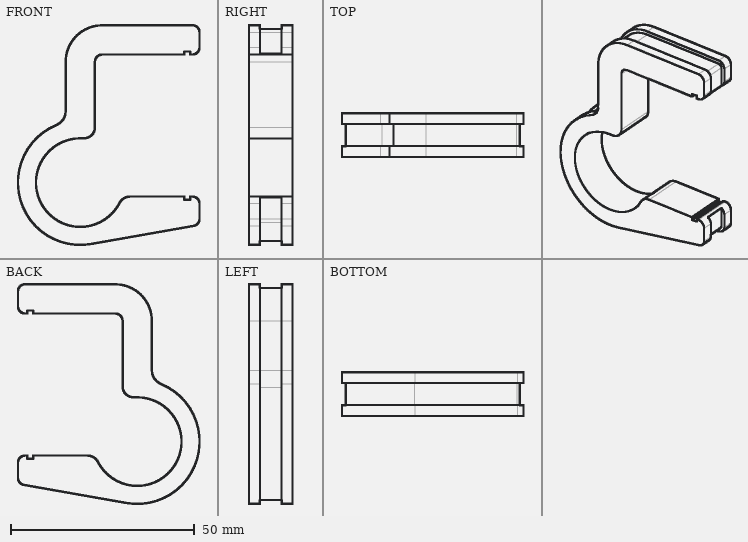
import cadquery as cq
import math

width = 12.0
ring_outer_radius = 17.0
ring_inner_radius = 12.05
tip_x = 32.5
top_z = 42.85
thickness = 8.0
upright_left = -4.0
lower_arm_top = -3.8
lower_arm_slope = math.radians(10)

elbow_outer_radius = 10.0
elbow_inner_radius = 2.0
tip_radius = 2.0
neck_radius = 4.0
foot_radius = 3.0
lip_radius = 3.3

groove_width = 6.0
groove_depth = 1.0

notch_width = 1.6
notch_depth = 0.85
notch_left = 28.3

upright_right = upright_left + thickness
arm_bottom = top_z - thickness


def polar(radius, angle):
    return (radius * math.cos(angle), radius * math.sin(angle))


def corner_arc(path, center, radius, start, end):
    """Run from the path's end to the start of an arc, then follow it to its end angle."""
    def point(angle):
        x, z = polar(radius, angle)
        return (center[0] + x, center[1] + z)

    return path.lineTo(*point(start)).threePointArc(point((start + end) / 2), point(end))


def clip_profile(inset, depth):
    """Clip with its outer contour moved inward by inset, centred along Y."""
    quarter = math.pi / 2
    outer_radius = ring_outer_radius - inset
    tip_arc = tip_radius - inset
    elbow_arc = elbow_outer_radius - inset
    neck_arc = neck_radius + inset

    slope_angle = lower_arm_slope - quarter
    neck_x = upright_left - neck_radius
    neck_z = math.sqrt((ring_outer_radius + neck_radius) ** 2 - neck_x**2)
    neck_angle = math.atan2(neck_z, neck_x)
    ring_middle = (slope_angle + neck_angle - 2 * math.pi) / 2

    end_angle = math.acos(tip_arc / tip_radius)

    tip_center_x = tip_x - tip_radius
    slope_offset = ring_outer_radius - tip_radius
    lower_tip_z = (tip_center_x * math.sin(lower_arm_slope) - slope_offset) / math.cos(lower_arm_slope)

    lip_z = lower_arm_top - lip_radius
    lip_x = math.sqrt((ring_inner_radius + lip_radius) ** 2 - lip_z**2)
    lip_angle = math.atan2(lip_z, lip_x)
    bore_middle = (lip_angle - 3 * quarter) / 2

    path = cq.Workplane("XZ").moveTo(*polar(outer_radius, slope_angle))
    path = path.threePointArc(polar(outer_radius, ring_middle), polar(outer_radius, neck_angle))
    neck_end = (neck_x + neck_arc, neck_z)
    neck_x_step, neck_z_step = polar(neck_arc, (neck_angle - math.pi) / 2)
    path = path.threePointArc((neck_x + neck_x_step, neck_z + neck_z_step), neck_end)
    elbow_center = (upright_left + elbow_outer_radius, top_z - elbow_outer_radius)
    path = corner_arc(path, elbow_center, elbow_arc, math.pi, quarter)
    path = corner_arc(path, (tip_center_x, top_z - tip_radius), tip_arc, quarter, 0)
    path = corner_arc(path, (tip_center_x, arm_bottom + tip_radius), tip_radius, -end_angle, -quarter)
    elbow_inner_center = (upright_right + elbow_inner_radius, arm_bottom - elbow_inner_radius)
    path = corner_arc(path, elbow_inner_center, elbow_inner_radius, quarter, math.pi)
    foot_center = (upright_right - foot_radius, ring_inner_radius + foot_radius)
    path = corner_arc(path, foot_center, foot_radius, 0, -quarter)
    path = path.lineTo(0, ring_inner_radius)
    path = path.threePointArc(polar(ring_inner_radius, bore_middle), polar(ring_inner_radius, lip_angle))
    lip_x_step, lip_z_step = polar(lip_radius, (lip_angle + math.pi + quarter) / 2)
    path = path.threePointArc((lip_x + lip_x_step, lip_z + lip_z_step), (lip_x, lower_arm_top))
    path = corner_arc(path, (tip_center_x, lower_arm_top - tip_radius), tip_radius, quarter, end_angle)
    path = corner_arc(path, (tip_center_x, lower_tip_z), tip_arc, 0, slope_angle)
    return path.close().extrude(depth / 2, both=True)


def notch(face_z):
    """Cutter reaching notch_depth above and below an arm's inner face."""
    center_x = notch_left + notch_width / 2
    return cq.Workplane("XY").box(notch_width, width, 2 * notch_depth).translate((center_x, 0, face_z))


rim_width = (width - groove_width) / 2
rim_offset = (groove_width + rim_width) / 2
core = clip_profile(groove_depth, width)
rim = clip_profile(0, rim_width)
result = core
for side in (-1, 1):
    result = result.union(rim.translate((0, side * rim_offset, 0)))

for face_z in (arm_bottom, lower_arm_top):
    result = result.cut(notch(face_z))